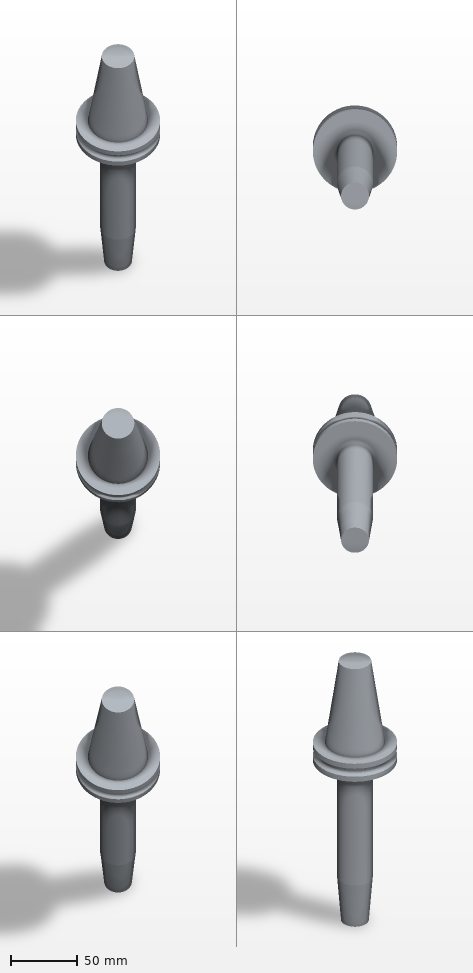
import cadquery as cq
import math


GAUGE_DIAMETER = 44.45
TAPER_RATIO = 7 / 24
TAPER_LENGTH = 68.4

FLANGE_DIAMETER = 63.55
FLANGE_TOP_DEPTH = 3.2
FLANGE_BOTTOM_DEPTH = 19.1
GROOVE_CENTRE_DEPTH = 11.1
GROOVE_ROOT_DIAMETER = 56.0
GROOVE_MOUTH_WIDTH = 7.0
GROOVE_INCLUDED_ANGLE = 60.0
RELIEF_WIDTH = 0.5
RELIEF_HEIGHT = 0.58

SHANK_DIAMETER = 27.0
SHANK_FILLET_RADIUS = 3.0
NOSE_DEPTH = 160.0
NOSE_DIAMETER = 21.0
NOSE_HALF_ANGLE = 4.5


def make_taper():
    """Cone that runs from the top of the flange up to the small end."""
    small_radius = (GAUGE_DIAMETER - TAPER_LENGTH * TAPER_RATIO) / 2
    large_radius = (GAUGE_DIAMETER + FLANGE_TOP_DEPTH * TAPER_RATIO) / 2
    profile = (
        cq.Workplane("XZ")
        .moveTo(0, -FLANGE_TOP_DEPTH)
        .lineTo(large_radius, -FLANGE_TOP_DEPTH)
        .lineTo(small_radius, TAPER_LENGTH)
        .lineTo(0, TAPER_LENGTH)
        .close()
    )
    return profile.revolve(360, (0, 0, 0), (0, 1, 0))


def make_flange():
    """Disc with a flat-bottomed V groove around its rim, relieved at the lower root corner."""
    rim_radius = FLANGE_DIAMETER / 2
    root_radius = GROOVE_ROOT_DIAMETER / 2
    half_mouth = GROOVE_MOUTH_WIDTH / 2
    wall_height = (rim_radius - root_radius) * math.tan(math.radians(GROOVE_INCLUDED_ANGLE / 2))
    half_root = half_mouth - wall_height
    profile = (
        cq.Workplane("XZ")
        .moveTo(0, -FLANGE_BOTTOM_DEPTH)
        .lineTo(rim_radius, -FLANGE_BOTTOM_DEPTH)
        .lineTo(rim_radius, -GROOVE_CENTRE_DEPTH - half_mouth)
        .lineTo(root_radius + RELIEF_WIDTH, -GROOVE_CENTRE_DEPTH - half_root - RELIEF_HEIGHT)
        .lineTo(root_radius, -GROOVE_CENTRE_DEPTH - half_root)
        .lineTo(root_radius, -GROOVE_CENTRE_DEPTH + half_root)
        .lineTo(rim_radius, -GROOVE_CENTRE_DEPTH + half_mouth)
        .lineTo(rim_radius, -FLANGE_TOP_DEPTH)
        .lineTo(0, -FLANGE_TOP_DEPTH)
        .close()
    )
    return profile.revolve(360, (0, 0, 0), (0, 1, 0))


def make_shank():
    """Straight shank with a fillet under the flange and a conical nose."""
    shank_radius = SHANK_DIAMETER / 2
    nose_radius = NOSE_DIAMETER / 2
    nose_length = (shank_radius - nose_radius) / math.tan(math.radians(NOSE_HALF_ANGLE))
    fillet_end_depth = FLANGE_BOTTOM_DEPTH + SHANK_FILLET_RADIUS
    fillet_outer_radius = shank_radius + SHANK_FILLET_RADIUS
    profile = (
        cq.Workplane("XZ")
        .moveTo(0, -NOSE_DEPTH)
        .lineTo(nose_radius, -NOSE_DEPTH)
        .lineTo(shank_radius, -NOSE_DEPTH + nose_length)
        .lineTo(shank_radius, -fillet_end_depth)
        .radiusArc((fillet_outer_radius, -FLANGE_BOTTOM_DEPTH), SHANK_FILLET_RADIUS)
        .lineTo(0, -FLANGE_BOTTOM_DEPTH)
        .close()
    )
    return profile.revolve(360, (0, 0, 0), (0, 1, 0))


result = make_flange().union(make_taper()).union(make_shank())